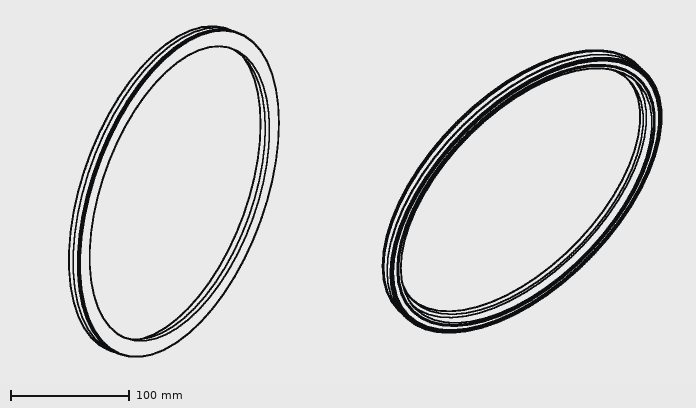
import cadquery as cq

ring_width = 12.0
outer_radius = 145.0
bore_radius = 130.5

counterbore_radius = 134.0
counterbore_depth = 7.5

rim_groove_radius = 2.3
rim_groove_position = 7.2

face_grooves = [(136.5, 137.5), (142.0, 143.0)]
face_groove_depth = 1.0

edge_chamfer = 0.5

x_min = -ring_width / 2


def annulus(inner_radius, outside_radius, length):
    """Annular solid that starts at the -X face and runs toward +X."""
    return (
        cq.Workplane("YZ", origin=(x_min, 0, 0))
        .circle(outside_radius)
        .circle(inner_radius)
        .extrude(length)
    )


def rim_groove():
    """Torus centred on the rim, which leaves a semicircular groove."""
    return (
        cq.Workplane("XY")
        .center(x_min + rim_groove_position, outer_radius)
        .circle(rim_groove_radius)
        .revolve(360, (0, -outer_radius, 0), (1, -outer_radius, 0))
    )


result = annulus(bore_radius, outer_radius, ring_width)
result = result.faces("<X or >X").edges(cq.selectors.RadiusNthSelector(-1)).chamfer(edge_chamfer)
result = result.cut(annulus(bore_radius, counterbore_radius, counterbore_depth))
result = result.cut(rim_groove())
for groove_inner, groove_outer in face_grooves:
    result = result.cut(annulus(groove_inner, groove_outer, face_groove_depth))